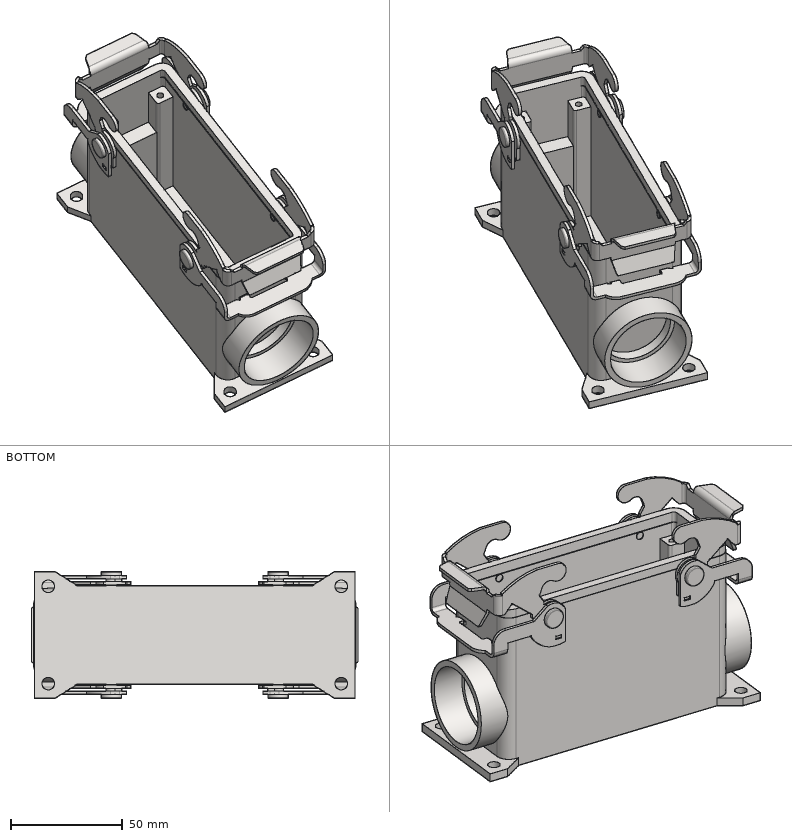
import cadquery as cq
import math


BODY_LENGTH = 121.0
BODY_WIDTH = 44.5
BODY_HEIGHT = 80.2
BODY_CORNER_RADIUS = 6.2
RIM_START = 76.0
RIM_INSET = 0.2
FLOOR_THICKNESS = 4.0

CAVITY_LENGTH = 112.2
CAVITY_WIDTH = 35.8
CAVITY_CORNER_RADIUS = 1.5
UNDERCUT_TOP = 75.0
UNDERCUT = 0.4
WALL_OVERLAP = 1.0

BOSS_SIZE = 7.8
BOSS_TOP = 68.3
BOSS_EDGE_RADIUS = 1.2
BOSS_HOLE_DIAMETER = 3.0
BOSS_HOLE_DEPTH = 15.0
BOSS_HOLE_INSET = 4.1

PORT_FACE_X = -72.1
PORT_HEIGHT = 26.0
PORT_OUTER_RADIUS = 21.05
PORT_BORE_RADIUS = 18.2
PORT_BORE_DEPTH = 14.7
PORT_SEAT_RADIUS = 16.2
PORT_SEAT_DEPTH = 19.6
PORT_BLOCK_INNER_X = -49.1

FOOT_THICKNESS = 4.0
FOOT_END_X = PORT_FACE_X
FOOT_WIDTH = 57.0
FOOT_TAPER_START_X = -62.8
FOOT_TAPER_END_X = -52.9
FOOT_HOLE_DIAMETER = 5.6
FOOT_HOLE_X = -65.9
FOOT_HOLE_Y = 21.9

SHEET = 1.5
PIVOT_X = -37.5
PIVOT_Z = 73.0
PIVOT_NECK_RADIUS = 2.5
PIVOT_HEAD_RADIUS = 4.65
PIVOT_HEAD_ROUNDING = 0.4
PIVOT_TAIL_RADIUS = 1.8

HOOK_OUTER_Y = 24.0
HOOK_END_X = -65.7
HOOK_BEND_RADIUS = 3.0
HOOK_BOTTOM = 80.2
HOOK_TOP = 98.0
HOOK_SHOULDER = 90.2
HOOK_SHOULDER_Y = 21.1
HOOK_END_TOP = 88.4
HOOK_END_TOP_Y = 19.5
HOOK_HEEL = (-61.5, HOOK_BOTTOM)
HOOK_HEEL_CHAMFER = (-60.2, 81.5)
HOOK_CROTCH = (-57.6, 84.6)
HOOK_LEG_END_X = -46.8
HOOK_LEG_END_TOP = 75.9
HOOK_LEG_END_BOTTOM = 74.0
HOOK_NECK_X = -40.6
HOOK_NECK_TOP = 81.1
HOOK_THROAT = (-42.9, 84.6)
HOOK_SEAT_START = (-41.7, 87.8)
HOOK_SEAT_MIDDLE = (-38.0, 90.6)
HOOK_SEAT_END_X = -35.4
HOOK_BACK_START_X = -44.2
HOOK_BACK_MIDDLE = (-53.2, 95.9)
HOOK_BACK_END_Z = 91.0
HOOK_DISC_RADIUS = 7.0
HOOK_TIP_RADIUS = 4.4
HOOK_TIP_X = -33.1
HOOK_TAIL_LEFT_X = -41.1
HOOK_TAIL_RIGHT_X = -31.2
HOOK_TAIL_BOTTOM = 63.0

TAB_END_X = -73.485
TAB_TOP = 91.6
TAB_BEND_RADIUS = 2.9
TAB_ROOT_HALF_WIDTH = 15.3
TAB_NECK = (-67.0, 14.6)
TAB_SHOULDER = (-72.2, 13.2)
TAB_END_HALF_WIDTH = 11.9
LIP_BEND_Z = 78.4
LIP_END_X = -69.0
LIP_END_Z = 71.4
LIP_TOP_HALF_WIDTH = 15.6
LIP_END_HALF_WIDTH = 13.5
LIP_CORNER_RADIUS = 1.5

BAIL_OUTER_Y = 26.7
BAIL_EYE_RADIUS = 7.2
BAIL_EYE_START_X = -40.3
BAIL_ARM_TOP_END_X = -47.5
BAIL_CORNER_BOTTOM = 59.0
BAIL_TOE_RIGHT_X = -33.8
BAIL_TOE_LEFT_X = -38.0
BAIL_BELLY_MIDDLE = (-44.6, 61.2)
BAIL_BELLY_END = (-48.8, 66.1)
BAIL_RIGHT_X = -30.7
BAIL_ARM_TOP = 73.8
BAIL_ARM_BOTTOM = 66.9
BAIL_END_X = -69.0
BAIL_KNEE_X = -61.6
BAIL_KNEE_RADIUS = 6.3
BAIL_BASE_TOP = 62.0
BAIL_BEND_RADIUS = 3.2
BAIL_LIP_X = -72.6
BAIL_LIP_HALF_WIDTH = 12.6
BAIL_SHOULDER_Y = 19.4
BAIL_SHOULDER_MIDDLE_X = -71.2
BAIL_SHOULDER_MIDDLE_Y = 17.3
BAIL_EYE_BOTTOM = 58.3
RELIEF_Y = 14.8
RELIEF_RADIUS = 0.9
TONGUE_OUTER_Y = 14.0
TONGUE_DROP = 0.9
NOTCH_INNER_X = -64.3
NOTCH_HALF_WIDTH = 9.8
NOTCH_CORNER_RADIUS = 0.8
STOP_X = -34.35
STOP_Z = 62.1
STOP_LENGTH = 3.1
STOP_HEIGHT = 1.6
STOP_DIMPLE_DEPTH = 0.8

END_X = -BODY_LENGTH / 2
HALF_WIDTH = BODY_WIDTH / 2
CAVITY_END_X = -CAVITY_LENGTH / 2
CAVITY_HALF_WIDTH = CAVITY_WIDTH / 2
EMBED_X = CAVITY_END_X - WALL_OVERLAP
EMBED_Y = CAVITY_HALF_WIDTH + WALL_OVERLAP
HOOK_INNER_Y = HOOK_OUTER_Y - SHEET
BAIL_INNER_Y = BAIL_OUTER_Y - SHEET
BAIL_BASE_BOTTOM = BAIL_BASE_TOP - SHEET


def box(x0, x1, y0, y1, z0, z1):
    return cq.Workplane("XY").box(x1 - x0, y1 - y0, z1 - z0, centered=False).translate((x0, y0, z0))


def rounded_block(length, width, radius, z0, z1):
    block = cq.Workplane("XY").workplane(offset=z0).rect(length, width).extrude(z1 - z0)
    return block.edges("|Z").fillet(radius)


def side_plane(y):
    """XZ sketch plane at -y; extruding goes further toward -Y."""
    return cq.Workplane("XZ", origin=(0, -y, 0))


def through_y(sketch, half_width):
    return sketch.extrude(half_width, both=True)


def mirrored_y(shape):
    return shape.union(shape.mirror("XZ"))


def circle_height(radius, x):
    """Height above the pivot of a pivot-centred circle at a given X."""
    return math.sqrt(radius**2 - (x - PIVOT_X) ** 2)


def make_body():
    body = rounded_block(BODY_LENGTH, BODY_WIDTH, BODY_CORNER_RADIUS, 0, RIM_START)
    rim = rounded_block(
        BODY_LENGTH - 2 * RIM_INSET,
        BODY_WIDTH - 2 * RIM_INSET,
        BODY_CORNER_RADIUS - RIM_INSET,
        RIM_START,
        BODY_HEIGHT,
    )
    return body.union(rim)


def make_cavity():
    mouth = rounded_block(
        CAVITY_LENGTH, CAVITY_WIDTH, CAVITY_CORNER_RADIUS, FLOOR_THICKNESS, BODY_HEIGHT
    )
    undercut = rounded_block(
        CAVITY_LENGTH,
        CAVITY_WIDTH + 2 * UNDERCUT,
        CAVITY_CORNER_RADIUS,
        FLOOR_THICKNESS,
        UNDERCUT_TOP,
    )
    return mouth.union(undercut)


def make_boss():
    inner_x = CAVITY_END_X + BOSS_SIZE
    inner_y = CAVITY_HALF_WIDTH - BOSS_SIZE
    boss = box(EMBED_X, inner_x, -EMBED_Y, -inner_y, FLOOR_THICKNESS, BOSS_TOP)
    boss = boss.edges("|Z and >X and >Y").fillet(BOSS_EDGE_RADIUS)
    hole_x = CAVITY_END_X + BOSS_HOLE_INSET
    hole_y = -CAVITY_HALF_WIDTH + BOSS_HOLE_INSET
    hole = (
        cq.Workplane("XY", origin=(hole_x, hole_y, BOSS_TOP))
        .circle(BOSS_HOLE_DIAMETER / 2)
        .extrude(-BOSS_HOLE_DEPTH)
    )
    return boss.cut(hole)


def port_cylinder(radius, depth):
    return cq.Workplane("YZ", origin=(PORT_FACE_X, 0, PORT_HEIGHT)).circle(radius).extrude(depth)


def make_port_solid():
    """Collar outside the end wall, and a block behind the wall that backs the bore."""
    collar = port_cylinder(PORT_OUTER_RADIUS, CAVITY_END_X - PORT_FACE_X)
    block_top = PORT_HEIGHT + PORT_OUTER_RADIUS
    block = box(EMBED_X, PORT_BLOCK_INNER_X, -EMBED_Y, EMBED_Y, FLOOR_THICKNESS, block_top)
    return collar.union(block)


def make_port_bore():
    bore = port_cylinder(PORT_BORE_RADIUS, PORT_BORE_DEPTH)
    return bore.union(port_cylinder(PORT_SEAT_RADIUS, PORT_SEAT_DEPTH))


def make_foot():
    half = FOOT_WIDTH / 2
    outline = [
        (FOOT_END_X, -half),
        (FOOT_TAPER_START_X, -half),
        (FOOT_TAPER_END_X, -HALF_WIDTH),
        (FOOT_TAPER_END_X, HALF_WIDTH),
        (FOOT_TAPER_START_X, half),
        (FOOT_END_X, half),
    ]
    foot = cq.Workplane("XY").polyline(outline).close().extrude(FOOT_THICKNESS)
    holes = (
        cq.Workplane("XY")
        .pushPoints([(FOOT_HOLE_X, -FOOT_HOLE_Y), (FOOT_HOLE_X, FOOT_HOLE_Y)])
        .circle(FOOT_HOLE_DIAMETER / 2)
        .extrude(FOOT_THICKNESS)
    )
    return foot.cut(holes)


def pivot_cylinder(radius, y0, y1):
    return side_plane(y0).center(PIVOT_X, PIVOT_Z).circle(radius).extrude(y1 - y0)


def make_pivots():
    head = pivot_cylinder(PIVOT_HEAD_RADIUS, BAIL_OUTER_Y, FOOT_WIDTH / 2)
    head = head.faces("<Y").edges().fillet(PIVOT_HEAD_ROUNDING)
    neck = pivot_cylinder(PIVOT_NECK_RADIUS, EMBED_Y, BAIL_OUTER_Y)
    tail = pivot_cylinder(PIVOT_TAIL_RADIUS, CAVITY_HALF_WIDTH, HALF_WIDTH)
    return mirrored_y(head.union(neck).union(tail))


def make_hook_profile():
    """Side silhouette of the hook sheet, as a solid spanning its full width."""
    tip_z = HOOK_TOP - HOOK_TIP_RADIUS
    seat_end_z = tip_z - math.sqrt(HOOK_TIP_RADIUS**2 - (HOOK_SEAT_END_X - HOOK_TIP_X) ** 2)
    neck_bottom = PIVOT_Z + circle_height(HOOK_DISC_RADIUS, HOOK_NECK_X)
    bend_x = HOOK_END_X + HOOK_BEND_RADIUS
    outline = (
        cq.Workplane("XZ")
        .moveTo(HOOK_END_X, HOOK_BOTTOM)
        .lineTo(*HOOK_HEEL)
        .lineTo(*HOOK_HEEL_CHAMFER)
        .lineTo(*HOOK_CROTCH)
        .lineTo(HOOK_LEG_END_X, HOOK_LEG_END_TOP)
        .lineTo(HOOK_LEG_END_X, HOOK_LEG_END_BOTTOM)
        .lineTo(PIVOT_X, PIVOT_Z)
        .lineTo(HOOK_NECK_X, neck_bottom)
        .lineTo(HOOK_NECK_X, HOOK_NECK_TOP)
        .lineTo(*HOOK_THROAT)
        .lineTo(*HOOK_SEAT_START)
        .threePointArc(HOOK_SEAT_MIDDLE, (HOOK_SEAT_END_X, seat_end_z))
        .threePointArc((HOOK_TIP_X + HOOK_TIP_RADIUS, tip_z), (HOOK_TIP_X, HOOK_TOP))
        .lineTo(HOOK_BACK_START_X, HOOK_TOP)
        .threePointArc(HOOK_BACK_MIDDLE, (bend_x, HOOK_BACK_END_Z))
        .lineTo(bend_x, HOOK_SHOULDER)
        .lineTo(HOOK_END_X, HOOK_SHOULDER)
        .close()
    )
    profile = through_y(outline, HOOK_OUTER_Y)
    disc = through_y(cq.Workplane("XZ").center(PIVOT_X, PIVOT_Z).circle(HOOK_DISC_RADIUS), HOOK_OUTER_Y)
    tail = box(
        HOOK_TAIL_LEFT_X, HOOK_TAIL_RIGHT_X, -HOOK_OUTER_Y, HOOK_OUTER_Y, HOOK_TAIL_BOTTOM, PIVOT_Z
    )
    return profile.union(disc).union(tail)


def make_hook_sheet():
    far_x = HOOK_TIP_X + 2 * HOOK_TIP_RADIUS
    outer = box(HOOK_END_X, far_x, -HOOK_OUTER_Y, HOOK_OUTER_Y, HOOK_TAIL_BOTTOM, HOOK_TOP)
    outer = outer.edges("|Z and <X").fillet(HOOK_BEND_RADIUS)
    inner = box(
        HOOK_END_X + SHEET, far_x, -HOOK_INNER_Y, HOOK_INNER_Y, HOOK_TAIL_BOTTOM, HOOK_TOP
    )
    inner = inner.edges("|Z and <X").fillet(HOOK_BEND_RADIUS - SHEET)
    sheet = outer.cut(inner).intersect(make_hook_profile())
    top_relief = (
        cq.Workplane("YZ", origin=(HOOK_END_X, 0, 0))
        .polyline(
            [
                (-HOOK_SHOULDER_Y, HOOK_SHOULDER),
                (-HOOK_END_TOP_Y, HOOK_END_TOP),
                (HOOK_END_TOP_Y, HOOK_END_TOP),
                (HOOK_SHOULDER_Y, HOOK_SHOULDER),
            ]
        )
        .close()
        .extrude(SHEET)
    )
    return sheet.cut(top_relief)


def make_finger_tab():
    inner_x = HOOK_END_X + SHEET
    underside = TAB_TOP - SHEET
    strip = through_y(
        cq.Workplane("XZ").polyline(
            [
                (TAB_END_X, underside),
                (HOOK_END_X, underside),
                (HOOK_END_X, HOOK_BOTTOM),
                (inner_x, HOOK_BOTTOM),
                (inner_x, TAB_TOP),
                (TAB_END_X, TAB_TOP),
            ]
        ).close(),
        HOOK_OUTER_Y,
    )
    strip = strip.edges("|Y and >X and >Z").fillet(TAB_BEND_RADIUS)
    inner_bend = cq.selectors.NearestToPointSelector((HOOK_END_X, 0, underside))
    strip = strip.edges(inner_bend).fillet(TAB_BEND_RADIUS - SHEET)
    half_plan = [
        (inner_x, TAB_ROOT_HALF_WIDTH),
        (HOOK_END_X, TAB_ROOT_HALF_WIDTH),
        TAB_NECK,
        TAB_SHOULDER,
        (TAB_END_X, TAB_END_HALF_WIDTH),
    ]
    plan = half_plan + [(x, -y) for x, y in reversed(half_plan)]
    return strip.intersect(cq.Workplane("XY").polyline(plan).close().extrude(HOOK_TOP))


def make_lip():
    slope = math.atan2(HOOK_END_X - LIP_END_X, LIP_BEND_Z - LIP_END_Z)
    end_run = SHEET * math.cos(slope)
    end_drop = SHEET * math.sin(slope)
    strip = through_y(
        cq.Workplane("XZ").polyline(
            [
                (HOOK_END_X, HOOK_BOTTOM),
                (HOOK_END_X, LIP_BEND_Z),
                (LIP_END_X, LIP_END_Z),
                (LIP_END_X + end_run, LIP_END_Z - end_drop),
                (HOOK_END_X + SHEET, LIP_BEND_Z - end_drop),
                (HOOK_END_X + SHEET, HOOK_BOTTOM),
            ]
        ).close(),
        HOOK_OUTER_Y,
    )
    bottom = LIP_END_Z - end_drop
    shape = (
        cq.Workplane("YZ", origin=(LIP_END_X, 0, 0))
        .polyline(
            [
                (-LIP_TOP_HALF_WIDTH, HOOK_BOTTOM),
                (-LIP_TOP_HALF_WIDTH, LIP_BEND_Z + SHEET),
                (-LIP_END_HALF_WIDTH, bottom),
                (LIP_END_HALF_WIDTH, bottom),
                (LIP_TOP_HALF_WIDTH, LIP_BEND_Z + SHEET),
                (LIP_TOP_HALF_WIDTH, HOOK_BOTTOM),
            ]
        )
        .close()
        .extrude(HOOK_END_X + SHEET - LIP_END_X)
    )
    shape = shape.edges("|X and <Z").fillet(LIP_CORNER_RADIUS)
    return strip.intersect(shape)


def make_bail_side():
    """One flat side of the bail: eye around the pivot and arm out to the base plate."""
    knee_z = BAIL_ARM_TOP - BAIL_KNEE_RADIUS
    knee_x = BAIL_END_X + BAIL_KNEE_RADIUS
    knee_mid = BAIL_KNEE_RADIUS * math.sqrt(0.5)
    bend_top = BAIL_BASE_BOTTOM + BAIL_BEND_RADIUS
    corner_z = PIVOT_Z + circle_height(BAIL_EYE_RADIUS, BAIL_RIGHT_X)
    outline = (
        side_plane(BAIL_INNER_Y)
        .moveTo(BAIL_END_X, bend_top)
        .lineTo(BAIL_END_X, knee_z)
        .threePointArc((knee_x - knee_mid, knee_z + knee_mid), (knee_x, BAIL_ARM_TOP))
        .lineTo(BAIL_ARM_TOP_END_X, BAIL_ARM_TOP)
        .lineTo(BAIL_EYE_START_X, PIVOT_Z + circle_height(BAIL_EYE_RADIUS, BAIL_EYE_START_X))
        .threePointArc((PIVOT_X, PIVOT_Z + BAIL_EYE_RADIUS), (BAIL_RIGHT_X, corner_z))
        .lineTo(BAIL_RIGHT_X, BAIL_CORNER_BOTTOM)
        .lineTo(BAIL_TOE_RIGHT_X, BAIL_EYE_BOTTOM)
        .lineTo(BAIL_TOE_LEFT_X, BAIL_EYE_BOTTOM)
        .threePointArc(BAIL_BELLY_MIDDLE, BAIL_BELLY_END)
        .lineTo(BAIL_BELLY_END[0], BAIL_ARM_BOTTOM)
        .lineTo(BAIL_KNEE_X, BAIL_ARM_BOTTOM)
        .lineTo(BAIL_KNEE_X, bend_top)
        .close()
    )
    side = outline.extrude(SHEET)
    half_length = STOP_LENGTH / 2
    stop_bottom = STOP_Z - STOP_HEIGHT / 2
    stop_top = STOP_Z + STOP_HEIGHT / 2
    stop_left = STOP_X - half_length
    stop_right = STOP_X + half_length
    stop = box(stop_left, stop_right, -BAIL_INNER_Y, -HOOK_OUTER_Y, stop_bottom, stop_top)
    dimple = box(
        stop_left, stop_right, -BAIL_OUTER_Y, -BAIL_OUTER_Y + STOP_DIMPLE_DEPTH, stop_bottom, stop_top
    )
    return side.cut(dimple).union(stop)


def make_bail_bend():
    """Base strip between the two arms, with rounded bends up into the sides."""
    top = BAIL_ARM_BOTTOM
    outer = box(BAIL_END_X, BAIL_KNEE_X, -BAIL_OUTER_Y, BAIL_OUTER_Y, BAIL_BASE_BOTTOM, top)
    outer = outer.edges("|X and <Z").fillet(BAIL_BEND_RADIUS)
    inner = box(BAIL_END_X, BAIL_KNEE_X, -BAIL_INNER_Y, BAIL_INNER_Y, BAIL_BASE_TOP, top)
    inner = inner.edges("|X and <Z").fillet(BAIL_BEND_RADIUS - SHEET)
    return outer.cut(inner)


def make_bail_base_edge():
    """Widened outer edge of the base plate, with rounded shoulders."""
    return (
        cq.Workplane("XY", origin=(0, 0, BAIL_BASE_BOTTOM))
        .moveTo(BAIL_END_X, -BAIL_SHOULDER_Y)
        .threePointArc((BAIL_SHOULDER_MIDDLE_X, -BAIL_SHOULDER_MIDDLE_Y), (BAIL_LIP_X, -BAIL_LIP_HALF_WIDTH))
        .lineTo(BAIL_LIP_X, BAIL_LIP_HALF_WIDTH)
        .threePointArc((BAIL_SHOULDER_MIDDLE_X, BAIL_SHOULDER_MIDDLE_Y), (BAIL_END_X, BAIL_SHOULDER_Y))
        .close()
        .extrude(SHEET)
    )


def make_tongue():
    """Small tongue of the base plate, stepped down and resting against the end wall."""
    low = BAIL_BASE_BOTTOM - TONGUE_DROP
    return box(BAIL_KNEE_X, END_X, -TONGUE_OUTER_Y, -NOTCH_HALF_WIDTH, low, low + SHEET)


def make_bail_notch():
    """Clearance above the cable port in the inner edge of the base plate."""
    notch = box(
        NOTCH_INNER_X,
        BAIL_KNEE_X,
        -NOTCH_HALF_WIDTH,
        NOTCH_HALF_WIDTH,
        BAIL_BASE_BOTTOM,
        BAIL_BASE_TOP,
    )
    return notch.edges("|Z and <X").fillet(NOTCH_CORNER_RADIUS)


def make_bail():
    sides = mirrored_y(make_bail_side().union(make_tongue()))
    relief = cq.Workplane("XY", origin=(BAIL_KNEE_X, -RELIEF_Y, BAIL_BASE_BOTTOM))
    relief = mirrored_y(relief.circle(RELIEF_RADIUS).extrude(SHEET))
    base = make_bail_bend().union(make_bail_base_edge())
    return base.cut(relief).cut(make_bail_notch()).union(sides)


def make_lever():
    hook = make_hook_sheet().union(make_finger_tab()).union(make_lip())
    return hook.union(make_bail()).union(make_pivots())


def both_ends(shape):
    return shape.union(shape.mirror("YZ"))


housing = make_body().cut(make_cavity())
housing = housing.union(both_ends(make_port_solid()))
housing = housing.union(both_ends(mirrored_y(make_boss())))
housing = housing.cut(both_ends(make_port_bore()))
housing = housing.union(both_ends(make_foot()))
result = housing.union(both_ends(make_lever()))